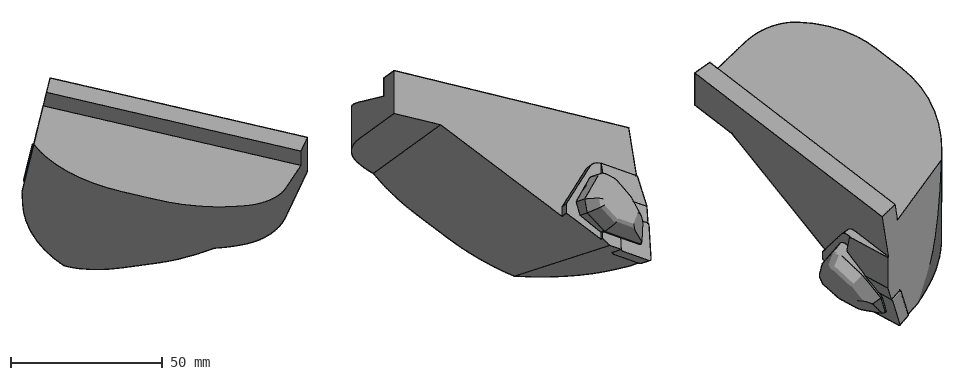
import cadquery as cq
import math

length = 98.0
back_radius = 48.0
left_arc_x = 49.5
right_arc_x = 61.7
corner_radius = 20.0
side_angle = 20.0
lip_width = 6.9
lip_top = 46.55
lip_foot = 39.98
roof_angle = 15.0
underside_flat_z = 30.9
underside_flat_x = 80.3
heel_x = 17.6
heel_z = 0.4
heel_y = 3.0
clearance_angle = 6.0
flank_setback = 0.4

tip_x = -0.13
tip_y = -0.1
swing_angle = 10.0
lean_angle = 6.7

insert_circle = 12.7
insert_angle = 80.0
insert_thickness = 4.76
insert_nose_radius = 0.8

head_top = 29.5
head_depth = 4.4
head_block_end = 20.8
head_break_z = 18.6
head_break_point = (3.0, 2.5, head_break_z)
head_top_point = (7.1, 0.7, head_top)
step_depth = 2.9
step_end = 34.0
step_slope_angle = 60.0
step_slope_start = 23.8
step_round_radius = 4.0

hump_corner = (24.3, 25.3)
hump_outline = [
    (5.4, 4.3), (6.6, 11.4), (13.5, 18.8), hump_corner,
    (30.5, 13.0), (29.0, 8.5), (21.0, 4.3),
]
hump_rim = 0.6
hump_height = 6.3
hump_root = 4.0
hump_taper = 22.0
hump_corner_radius = 3.0
hump_round_radius = 3.0
hump_nose_point = (6.8, 5.5, 8.0)
hump_nose_normal = (-0.6, 0.75, -0.25)

far = 200.0


def tangent(angle):
    return math.tan(math.radians(angle))


def sine(angle):
    return math.sin(math.radians(angle))


def cosine(angle):
    return math.cos(math.radians(angle))


def arc_point(center_x, center_y, radius, angle):
    """Point on a circle, with the angle turning from +X towards -Y."""
    return (center_x + radius * cosine(angle), center_y - radius * sine(angle))


def half_space(origin, normal):
    """Large block on the side of a plane that the normal points to."""
    plane = cq.Plane(origin=origin, normal=normal)
    return cq.Workplane(plane).rect(2 * far, 2 * far).extrude(far)


along = cq.Vector(cosine(swing_angle), sine(swing_angle), 0)
inward = cq.Vector(
    sine(swing_angle) * cosine(lean_angle),
    -cosine(swing_angle) * cosine(lean_angle),
    sine(lean_angle),
)
cutting_plane = cq.Plane(origin=(tip_x, tip_y, 0), xDir=along, normal=inward)


def make_insert():
    edge = insert_circle / sine(insert_angle)
    rise = insert_circle
    run = edge * cosine(insert_angle)
    return (
        cq.Workplane(cutting_plane)
        .polyline([(0, 0), (edge, 0), (edge + run, rise), (run, rise)])
        .close()
        .extrude(insert_thickness)
        .edges(cq.selectors.ParallelDirSelector(inward))
        .fillet(insert_nose_radius)
    )


def make_shank():
    corner_x = length - corner_radius
    join_angle = math.degrees(math.acos((corner_x - right_arc_x) / (back_radius - corner_radius)))
    corner_y = -(back_radius - corner_radius) * sine(join_angle)
    outline = (
        cq.Workplane("XY")
        .moveTo(left_arc_x - back_radius / cosine(side_angle), 0)
        .lineTo(*arc_point(left_arc_x, 0, back_radius, 180 - side_angle))
        .threePointArc(
            arc_point(left_arc_x, 0, back_radius, (180 - side_angle + 90) / 2),
            arc_point(left_arc_x, 0, back_radius, 90),
        )
        .lineTo(*arc_point(right_arc_x, 0, back_radius, 90))
        .threePointArc(
            arc_point(right_arc_x, 0, back_radius, (90 + join_angle) / 2),
            arc_point(right_arc_x, 0, back_radius, join_angle),
        )
        .threePointArc(
            arc_point(corner_x, corner_y, corner_radius, join_angle / 2),
            arc_point(corner_x, corner_y, corner_radius, 0),
        )
        .lineTo(length, 0)
        .close()
        .extrude(far)
    )
    front_roof = lip_foot + (back_radius - lip_width) * tangent(roof_angle)
    profile = (
        cq.Workplane("YZ")
        .polyline([
            (0, 0), (0, lip_top), (-lip_width, lip_top), (-lip_width, lip_foot),
            (-back_radius, front_roof), (-back_radius, 0),
        ])
        .close()
        .extrude(length)
    )
    return outline.intersect(profile)


def make_step():
    """Thin part of the head, with a rounded shoulder sloping down to the right."""
    drop = (step_end - step_slope_start) * tangent(step_slope_angle)
    return (
        cq.Workplane("XZ")
        .polyline([
            (0, 0), (0, head_top), (step_slope_start, head_top),
            (step_end, head_top - drop), (step_end, 0),
        ])
        .close()
        .extrude(-step_depth)
        .edges(cq.selectors.NearestToPointSelector((step_slope_start, step_depth / 2, head_top)))
        .fillet(step_round_radius)
    )


def make_head():
    block = cq.Workplane("XY").box(head_block_end, head_depth, head_top, centered=False)
    head = block.union(make_step())
    head = head.cut(half_space(cutting_plane.origin, inward * -1))
    fall = cq.Vector(*head_top_point) - cq.Vector(*head_break_point)
    upper_normal = fall.cross(along).normalized()
    return head.cut(half_space(head_break_point, upper_normal))


def hump_corner_edge(depth):
    """Selects the edge nearest the hump's upper right corner at a depth below the cutting plane."""
    return cq.selectors.NearestToPointSelector(cutting_plane.toWorldCoords((*hump_corner, depth)).toTuple())


def make_hump():
    base_plane = cq.Workplane(cutting_plane).workplane(offset=hump_root)
    base = base_plane.polyline(hump_outline).close().extrude(-hump_root - hump_rim)
    rim_plane = cq.Workplane(cutting_plane).workplane(offset=-hump_rim)
    crown = rim_plane.polyline(hump_outline).close().extrude(hump_rim - hump_height, taper=hump_taper)
    hump = base.union(crown).cut(half_space(hump_nose_point, hump_nose_normal))
    corner_edges = hump_corner_edge(hump_root / 2) + hump_corner_edge(-hump_height / 2)
    hump = hump.edges(corner_edges).fillet(hump_corner_radius)
    top_face = cq.selectors.DirectionMinMaxSelector(inward * -1, True)
    return hump.faces(top_face).edges().fillet(hump_round_radius)


def trim_left_flank(holder):
    """Trims the left side parallel to the insert's left flank, a little behind it."""
    edge_up = along * cosine(insert_angle) + cutting_plane.yDir * sine(insert_angle)
    flank = inward.cross(edge_up).normalized()
    return holder.cut(half_space(cutting_plane.origin - flank * flank_setback, flank))


def trim_underside(holder):
    """Trims the heel at the clearance angle, then the sloping underside up to the flat at its right."""
    clearance = cq.Vector(0, -sine(clearance_angle), -cosine(clearance_angle))
    below_heel = half_space((heel_x, heel_y, heel_z), clearance)
    slope_normal = cq.Vector(underside_flat_z - heel_z, 0, heel_x - underside_flat_x)
    below_flat = half_space((0, 0, underside_flat_z), (0, 0, -1))
    below_slope = half_space((heel_x, 0, heel_z), slope_normal).intersect(below_flat)
    return holder.cut(below_heel).cut(below_slope)


def make_holder(insert):
    holder = make_shank().union(make_head()).union(make_hump())
    holder = trim_left_flank(holder)
    holder = trim_underside(holder)
    return holder.cut(insert)


insert = make_insert()
holder = make_holder(insert)

result = cq.Compound.makeCompound([holder.val(), insert.val()])